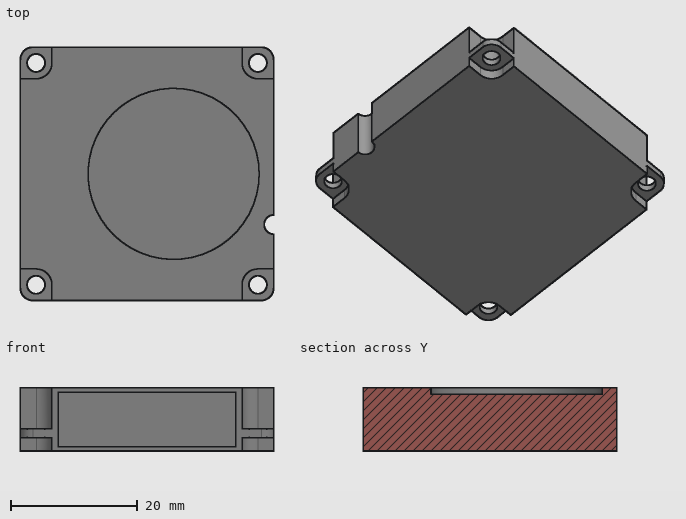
import cadquery as cq

side = 40.0
height = 10.0
half_side = side / 2

relief_size = 5.0
relief_radius = 2.5
ear_bottom = 2.1
ear_thickness = 1.4
ear_corner_radius = 2.0
hole_diameter = 2.8
hole_offset = half_side - relief_size / 2

recess_diameter = 27.0
recess_center_x = 4.2
recess_depth = 1.0

opening_width = 28.0
opening_wall = 0.7
opening_height = height - 2 * opening_wall
opening_depth = 5.0

notch_radius = 1.5
notch_y = -8.0

corner_signs = [(sx, sy) for sx in (-1, 1) for sy in (-1, 1)]


def corner_relief(sign_x, sign_y):
    """Full-height corner cutter with its inward edge rounded."""
    inward_edge = ("<" if sign_x > 0 else ">") + "X"
    inward_side = ("<" if sign_y > 0 else ">") + "Y"
    return (
        cq.Workplane("XY")
        .center(sign_x * half_side, sign_y * half_side)
        .rect(2 * relief_size, 2 * relief_size)
        .extrude(height)
        .edges("|Z")
        .edges(inward_edge)
        .edges(inward_side)
        .fillet(relief_radius)
    )


def ear_plate():
    """Rounded plate across the housing whose corners form the four drilled ears."""
    plate = (
        cq.Workplane("XY")
        .workplane(offset=ear_bottom)
        .rect(side, side)
        .extrude(ear_thickness)
        .edges("|Z")
        .fillet(ear_corner_radius)
    )
    return (
        plate.faces(">Z")
        .workplane(origin=(0, 0, 0))
        .rect(2 * hole_offset, 2 * hole_offset, forConstruction=True)
        .vertices()
        .hole(hole_diameter)
    )


def housing():
    """Square block with four corner reliefs and the ears added back."""
    block = cq.Workplane("XY").rect(side, side).extrude(height)
    for sign_x, sign_y in corner_signs:
        block = block.cut(corner_relief(sign_x, sign_y))
    return block.union(ear_plate())


def top_recess():
    return (
        cq.Workplane("XY")
        .workplane(offset=height - recess_depth)
        .center(recess_center_x, 0)
        .circle(recess_diameter / 2)
        .extrude(recess_depth)
    )


def side_opening():
    return cq.Workplane("XY").box(
        opening_width, opening_depth, opening_height, centered=(True, False, False)
    ).translate((0, -half_side, opening_wall))


def edge_notch():
    return (
        cq.Workplane("XY")
        .center(half_side, notch_y)
        .circle(notch_radius)
        .extrude(height)
    )


result = housing().cut(top_recess()).cut(side_opening()).cut(edge_notch())